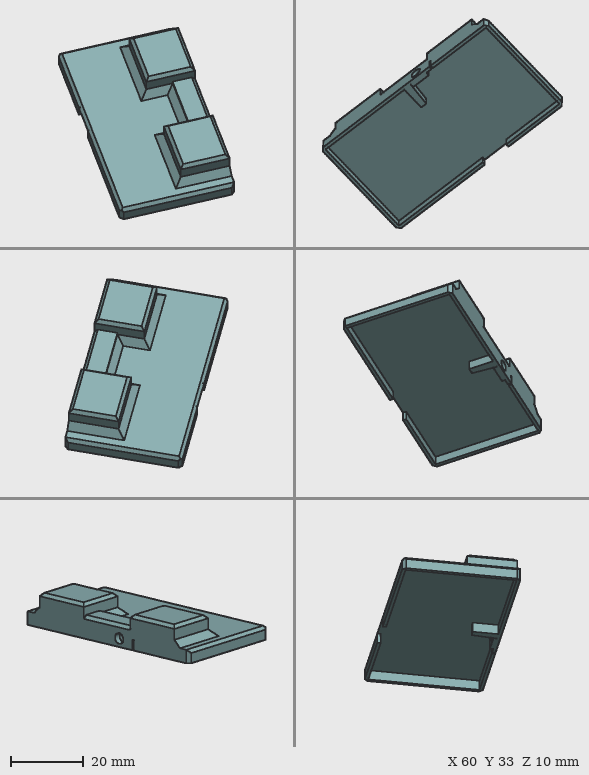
import cadquery as cq

length = 60.0
depth = 33.0
height = 10.0
chamfer = 0.95
wall = 0.95
plate_top = 3.9
back = depth / 2
inner_back = back - wall
ceiling = plate_top - wall

pad_width = 16.25
pad_centre = 16.55
pad_front = 2.45
skirt = 2.05
skirt_angle = 45
bridge_front = 10.0
bridge_top = 6.6
bridge_width = 2 * pad_centre - pad_width

notch_left = -9.8
notch_right = -1.25
slot_width = 0.5
cable_diameter = 3.0
cable_x = -4.45
cable_z = 2.45

boss_left = -7.5
boss_right = -1.85
boss_depth = 0.95
rib_length = 7.2
rib_thickness = 1.8


def box_between(x_range, y_range, z_range):
    """Box spanning the given (low, high) range on each axis."""
    sides = [high - low for low, high in (x_range, y_range, z_range)]
    corner = (x_range[0], y_range[0], z_range[0])
    return cq.Workplane("XY").box(*sides, centered=False).translate(corner)


def plate():
    """Rectangular slab with cut corners; the top edge is chamfered except along the back."""
    slab = cq.Workplane("XY").rect(length, depth).extrude(plate_top)
    cut_corners = slab.edges("|Z").chamfer(chamfer)
    bevelled = slab.faces(">Z").edges("<X or >X or <Y").chamfer(chamfer)
    return bevelled.intersect(cut_corners)


def sloped_skirt(centre_x, width, front):
    """Sloped skirt around three sides of a block that is flush with the back."""
    foot_width = width + 2 * skirt
    foot_depth = 2 * (back - front + skirt)
    pyramid = (
        cq.Workplane("XY", origin=(centre_x, back, plate_top))
        .rect(foot_width, foot_depth)
        .extrude(skirt, taper=skirt_angle)
    )
    behind = box_between((-length, length), (back, 2 * depth), (0, height))
    return pyramid.cut(behind)


def block(centre_x, width, front, top):
    """Upright block from the underside of the plate roof to the given top, flush with the back."""
    x_range = (centre_x - width / 2, centre_x + width / 2)
    return box_between(x_range, (front, back), (ceiling, top))


def pad(centre_x):
    """Raised pad with a chamfered top and a sloped skirt."""
    body = block(centre_x, pad_width, pad_front, height).faces(">Z").chamfer(chamfer)
    return body.union(sloped_skirt(centre_x, pad_width, pad_front))


def bridge():
    """Lower block joining the two pads, chamfered along the back."""
    body = block(0, bridge_width, bridge_front, bridge_top)
    body = body.union(sloped_skirt(0, bridge_width, bridge_front))
    return body.faces(">Z").edges(">Y").chamfer(chamfer)


def cavity():
    """Hollow underside that leaves an even wall on all four sides."""
    return cq.Workplane("XY").rect(length - 2 * wall, depth - 2 * wall).extrude(ceiling)


def boss():
    """Local thickening of the back wall around the cable hole."""
    return box_between((boss_left, boss_right), (inner_back - boss_depth, inner_back), (0, ceiling))


def rib():
    """Rib running forward from the back wall, its left face slanting from boss to notch edge."""
    rib_front = inner_back - rib_length
    rib_right = notch_right + rib_thickness
    outline = [
        (boss_right, inner_back),
        (notch_right, rib_front),
        (rib_right, rib_front),
        (rib_right, inner_back),
    ]
    return cq.Workplane("XY").polyline(outline).close().extrude(ceiling)


def front_notch():
    """Wide opening in the front wall."""
    return box_between((notch_left, notch_right), (-back, -back + wall), (0, ceiling))


def back_slot():
    """Narrow opening in the back wall, in line with the left end of the front notch."""
    return box_between((notch_left, notch_left + slot_width), (inner_back, back), (0, ceiling))


def cable_hole():
    """Round hole through the boss and the back wall."""
    return (
        cq.Workplane("XZ", origin=(cable_x, back, cable_z))
        .circle(cable_diameter / 2)
        .extrude(wall + boss_depth)
    )


result = plate().union(bridge())
for side in (-1, 1):
    result = result.union(pad(side * pad_centre))
result = result.cut(cavity()).union(boss()).union(rib())
for opening in (front_notch(), back_slot(), cable_hole()):
    result = result.cut(opening)